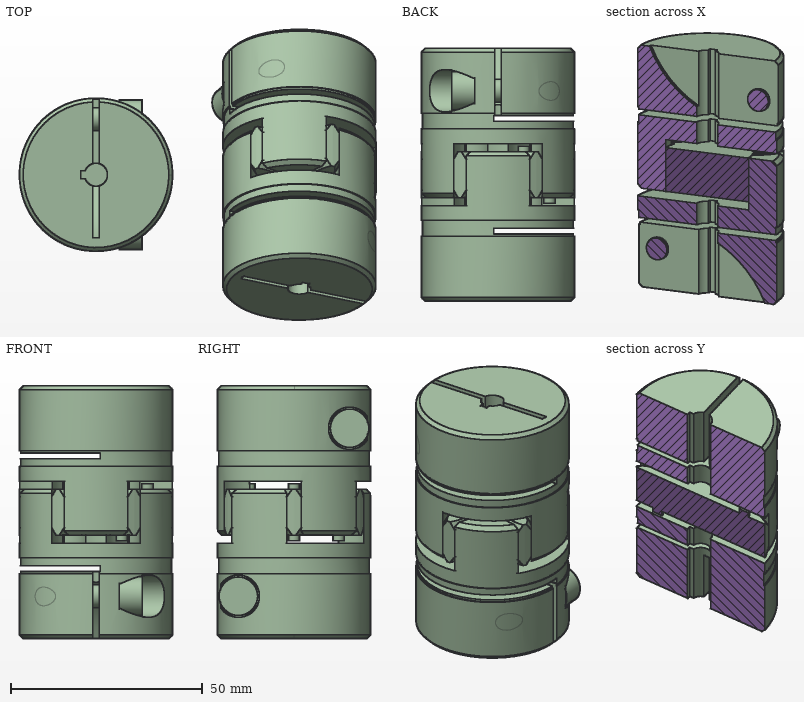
import cadquery as cq
import math


OUTER_RADIUS = 20.0
HUB_TOP = 33.0
HUB_FLOOR = 8.05
END_CHAMFER = 1.0
NECK_RADIUS = 39.4 / 2
NECK_TOP = 16.05
NECK_BOTTOM = 11.95

BORE_DIAMETER = 6.0
KEYWAY_WIDTH = 2.0
KEYWAY_REACH = 4.0

SLIT_TOP = 15.45
SLIT_BOTTOM = 14.0
SLIT_END_X = 1.05
SLOT_WIDTH = 1.65
CUTTER_RADIUS = 29.95
CUTTER_Y = 11.1
CUTTER_Z = 44.7

SCREW_Y = 14.5
SCREW_Z = 21.9
SCREW_DIAMETER = 6.0
TIP_DIAMETER = 4.9
HEAD_DIAMETER = 10.0
RECESS_DIAMETER = 11.0
HEAD_START_X = 6.0
HEAD_LENGTH = 6.0

JAW_COUNT = 3
ARM_COUNT = 2 * JAW_COUNT
FIRST_JAW_ANGLE = 30.0
STAR_TOP = 6.0
JAW_CHAMFER = 1.1
CORE_RADIUS = 11.9
FLANK_RADIUS = 12.0
FLANK_CENTRE_R = 13.65
FLANK_OFFSET = 8.4
ARM_CHAMFER_HEIGHT = 2.0
ARM_CHAMFER_WIDTH = 1.1
PIP_DIAMETER = 3.0
PIP_CENTRE_R = 13.45
PIP_HEIGHT = 1.45

CLEAR = 2 * OUTER_RADIUS


def disc(radius, bottom, top):
    """Cylinder about Z between two heights."""
    return cq.Workplane("XY").workplane(offset=bottom).circle(radius).extrude(top - bottom)


def block(x_range, y_range, z_range):
    """Box between the given limits."""
    corner = (x_range[0], y_range[0], z_range[0])
    size = [high - low for low, high in (x_range, y_range, z_range)]
    return cq.Workplane("XY").box(*size, centered=False).translate(corner)


def rod_along_x(diameter, start_x, end_x):
    """Cylinder on the clamp screw axis."""
    axis_plane = cq.Workplane("YZ", origin=(start_x, SCREW_Y, SCREW_Z))
    return axis_plane.circle(diameter / 2).extrude(end_x - start_x)


def arm_lens(angle, half_height, chamfered=False):
    """Lens-shaped column between two arcs, pointing outward at the given angle."""
    column = disc(FLANK_RADIUS, -half_height, half_height)
    if chamfered:
        column = column.faces("|Z").edges().chamfer(ARM_CHAMFER_HEIGHT, ARM_CHAMFER_WIDTH)
    left = column.translate((FLANK_CENTRE_R, -FLANK_OFFSET, 0))
    right = column.translate((FLANK_CENTRE_R, FLANK_OFFSET, 0))
    return left.intersect(right).rotate((0, 0, 0), (0, 0, 1), angle)


def make_jaws():
    """Ring cut by the arm lenses, keeping every second piece."""
    ring = disc(OUTER_RADIUS, -STAR_TOP, HUB_FLOOR).faces("<Z").chamfer(JAW_CHAMFER)
    ring = ring.cut(disc(CORE_RADIUS, -STAR_TOP, HUB_FLOOR))
    for i in range(ARM_COUNT):
        ring = ring.cut(arm_lens(i * 360 / ARM_COUNT, CLEAR))

    half_angle = math.radians(180 / ARM_COUNT)
    wedge_x = CLEAR * math.cos(half_angle)
    wedge_y = CLEAR * math.sin(half_angle)
    wedge_corners = [(0, 0), (wedge_x, -wedge_y), (wedge_x, wedge_y)]
    wedge = cq.Workplane("XY").polyline(wedge_corners).close().extrude(CLEAR, both=True)
    jaws = []
    for i in range(JAW_COUNT):
        jaw_angle = FIRST_JAW_ANGLE + i * 360 / JAW_COUNT
        jaws.append(ring.intersect(wedge.rotate((0, 0, 0), (0, 0, 1), jaw_angle)))
    return jaws


def cut_bore(hub):
    bore = disc(BORE_DIAMETER / 2, HUB_FLOOR, HUB_TOP)
    keyway = block((-KEYWAY_REACH, 0), (-KEYWAY_WIDTH / 2, KEYWAY_WIDTH / 2), (HUB_FLOOR, HUB_TOP))
    return hub.cut(bore).cut(keyway)


def cut_clamp_slots(hub):
    slit = block((-CLEAR, SLIT_END_X), (-CLEAR, CLEAR), (SLIT_BOTTOM, SLIT_TOP))
    half_width = SLOT_WIDTH / 2
    open_slot = block((-half_width, half_width), (0, CLEAR), (SLIT_TOP, HUB_TOP))
    cutter_plane = cq.Workplane("YZ", origin=(0, CUTTER_Y, CUTTER_Z))
    blind_slot = cutter_plane.circle(CUTTER_RADIUS).extrude(half_width, both=True)
    return hub.cut(slit).cut(open_slot).cut(blind_slot)


def add_clamp_screw(hub):
    """Screw made in one piece with the hub, its tip flush with the round side."""
    slot_wall = -SLOT_WIDTH / 2
    hub = hub.cut(rod_along_x(RECESS_DIAMETER, HEAD_START_X, CLEAR))
    hub = hub.cut(rod_along_x(TIP_DIAMETER, -CLEAR, slot_wall))
    head = rod_along_x(HEAD_DIAMETER, HEAD_START_X, HEAD_START_X + HEAD_LENGTH)
    shank = rod_along_x(SCREW_DIAMETER, slot_wall, HEAD_START_X)
    tip = rod_along_x(TIP_DIAMETER, -CLEAR, slot_wall).intersect(disc(OUTER_RADIUS, HUB_FLOOR, HUB_TOP))
    return hub.union(head).union(shank).union(tip, clean=False)


def make_hub():
    """Upper hub, jaws pointing down."""
    hub = disc(OUTER_RADIUS, HUB_FLOOR, HUB_TOP).faces(">Z").chamfer(END_CHAMFER)
    neck_groove = disc(OUTER_RADIUS, NECK_BOTTOM, NECK_TOP).cut(disc(NECK_RADIUS, NECK_BOTTOM, NECK_TOP))
    hub = hub.cut(neck_groove)
    for jaw in make_jaws():
        hub = hub.union(jaw)
    hub = cut_bore(hub)
    hub = cut_clamp_slots(hub)
    return add_clamp_screw(hub)


def make_star():
    """Core with chamfered arms and spacer pips on alternate ends of the arms."""
    star = disc(CORE_RADIUS, -STAR_TOP, STAR_TOP)
    rim = disc(OUTER_RADIUS, -STAR_TOP, STAR_TOP)
    for i in range(ARM_COUNT):
        angle = i * 360 / ARM_COUNT
        star = star.union(arm_lens(angle, STAR_TOP, chamfered=True).intersect(rim))
        pip_bottom = STAR_TOP if i % 2 == 0 else -STAR_TOP - PIP_HEIGHT
        pip = disc(PIP_DIAMETER / 2, pip_bottom, pip_bottom + PIP_HEIGHT).translate((PIP_CENTRE_R, 0, 0))
        star = star.union(pip.rotate((0, 0, 0), (0, 0, 1), angle))
    return star


upper_hub = make_hub()
lower_hub = upper_hub.rotate((0, 0, 0), (1, 0, 0), 180)
star = make_star()

result = cq.Compound.makeCompound([upper_hub.solids().val(), lower_hub.solids().val(), star.solids().val()])